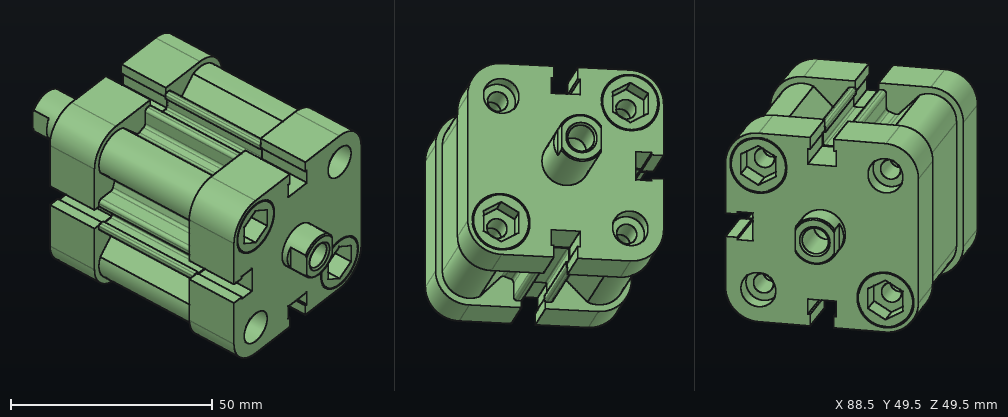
import cadquery as cq
import math


rod_length = 88.5
front_rod_reach = 21.95
barrel_length = 30.6
cap_length = 14.4
cap_side = 49.5
housing_end = barrel_length / 2 + cap_length
rod_start = -housing_end - front_rod_reach

hole_offset = 16.3
hole_diameter = 5.05
recess_width = 8.9
socket_depth = 6.0
counterbore_depth = 5.05
screw_bore_radius = 7.3
screw_gap = 0.3
screw_gap_depth = 0.9
cap_corner_radius = cap_side / 2 - hole_offset

barrel_half_side = 23.0
barrel_corner_radius = barrel_half_side - hole_offset
lobe_edge = 13.6
lobe_height = hole_offset + math.sqrt(barrel_corner_radius**2 - (hole_offset - lobe_edge) ** 2)
valley_offset = 7.9
valley_rise = 20
lip_outer_offset = 5.05
valley_radius = 1.0
lip_outer_radius = 1.0
lip_inner_radius = 0.5

slot_mouth = 2.7
slot_undercut = 3.4
slot_floor = 18.0
slot_lip_underside = 21.4
slot_floor_radius = 0.5
slot_clearance = 0.3

rod_diameter = 12.0
rod_chamfer = 0.35
flat_width = 10.0
flat_length = 5.1
flat_runout = 0.3
thread_diameter = 6.7
thread_mouth_diameter = 7.8
thread_depth = 12.0
drill_point_angle = 118

slot_turns = (0, 90, 180)
extra = 0.9



def section(x):
    """Sketch plane across the axis at x, with +Y and +Z as its local axes."""
    return cq.Workplane("YZ", origin=(x, 0, 0))


def rounded_polygon(work, corners):
    """Closed outline through corners (across, up, radius); a radius of 0 keeps the corner sharp."""
    points = [cq.Vector(across, up) for across, up, _ in corners]
    count = len(corners)
    for i in range(count):
        corner = points[i]
        radius = corners[i][2]
        back = (points[i - 1] - corner).normalized()
        ahead = (points[(i + 1) % count] - corner).normalized()
        half_angle = back.getAngle(ahead) / 2
        to_tangent = radius / math.tan(half_angle)
        to_arc_middle = radius / math.sin(half_angle) - radius
        arc_start = corner + back * to_tangent
        arc_middle = corner + (back + ahead).normalized() * to_arc_middle
        arc_end = corner + ahead * to_tangent
        arrive = work.moveTo if i == 0 else work.lineTo
        work = arrive(arc_start.x, arc_start.y)
        if radius > 0:
            work = work.threePointArc((arc_middle.x, arc_middle.y), (arc_end.x, arc_end.y))
    return work.close()


def cut_on_slotted_sides(body, cutter):
    """Cut the +Z cutter from every side that carries a sensor slot."""
    for turn in slot_turns:
        body = body.cut(cutter.rotate((0, 0, 0), (1, 0, 0), turn))
    return body


def corner_spots(side_of_diagonal):
    """The two hole centres where the signs of Y and Z multiply to side_of_diagonal."""
    return [(hole_offset * s, hole_offset * s * side_of_diagonal) for s in (-1, 1)]


screw_corners = corner_spots(-1)
plain_corners = corner_spots(1)


def rounded_block(x, length, side, corner_radius):
    """Square block along the axis with rounded long edges."""
    return section(x).rect(side, side).extrude(length).edges("|X").fillet(corner_radius)


def bore(body, x, length):
    """Cut the four corner holes and the rod bore."""
    holes = section(x).pushPoints(screw_corners + plain_corners).circle(hole_diameter / 2).extrude(length)
    rod_bore = section(x).circle(rod_diameter / 2).extrude(length)
    return body.cut(holes).cut(rod_bore)



def barrel_side_cutter():
    """Valleys beside the lips and the undercut slot between them, for the +Z side."""
    valley_height = lobe_height - (lobe_edge - valley_offset)
    lip_foot = valley_height + (valley_offset - lip_outer_offset) * math.tan(math.radians(valley_rise))
    half = [
        (lobe_edge, barrel_half_side + extra, 0),
        (lobe_edge, lobe_height, 0),
        (valley_offset, valley_height, valley_radius),
        (lip_outer_offset, lip_foot, valley_radius),
        (lip_outer_offset, barrel_half_side, lip_outer_radius),
        (slot_mouth, barrel_half_side, lip_inner_radius),
        (slot_mouth, slot_lip_underside, 0),
        (slot_undercut, slot_lip_underside, 0),
        (slot_undercut, slot_floor, slot_floor_radius),
    ]
    other_half = [(-across, up, radius) for across, up, radius in reversed(half)]
    return rounded_polygon(section(-barrel_length / 2), half + other_half).extrude(barrel_length)


def lobe_flat_cutter():
    """Strips beside the +Z corners, where the barrel follows the round lobes instead of a flat."""
    width = hole_offset - lobe_edge
    height = barrel_half_side - lobe_height
    middle = (hole_offset + lobe_edge) / 2
    centres = [(s * middle, lobe_height + height / 2) for s in (-1, 1)]
    strips = section(-barrel_length / 2).pushPoints(centres).rect(width, height)
    return strips.extrude(barrel_length)


def make_barrel():
    start = -barrel_length / 2
    block = rounded_block(start, barrel_length, 2 * barrel_half_side, barrel_corner_radius)
    lobes = section(start).pushPoints(screw_corners + plain_corners).circle(barrel_corner_radius)
    lobed = cut_on_slotted_sides(block, lobe_flat_cutter()).union(lobes.extrude(barrel_length))
    slotted = cut_on_slotted_sides(lobed, barrel_side_cutter())
    return bore(slotted, start, barrel_length)



def cap_slot_cutter():
    """Undercut slot of the +Z side of the -X cap."""
    mouth = slot_mouth + slot_clearance
    undercut = slot_undercut + slot_clearance
    underside = slot_lip_underside + slot_clearance
    floor = slot_floor - slot_clearance
    half = [
        (mouth, cap_side / 2 + extra, 0),
        (mouth, underside, 0),
        (undercut, underside, 0),
        (undercut, floor, 0),
    ]
    other_half = [(-across, up, radius) for across, up, radius in reversed(half)]
    return rounded_polygon(section(-housing_end), half + other_half).extrude(cap_length)


def make_front_cap():
    """The -X cap: hexagon sockets inside ring grooves on one diagonal, counterbores on the other."""
    outer_face = section(-housing_end)
    block = rounded_block(-housing_end, cap_length, cap_side, cap_corner_radius)
    slotted = cut_on_slotted_sides(block, cap_slot_cutter())
    cap = bore(slotted, -housing_end, cap_length)

    hexagon_corner_diameter = recess_width / math.cos(math.pi / 6)
    sockets = (
        outer_face.transformed(rotate=(0, 0, 90))
        .pushPoints([(z, -y) for y, z in screw_corners])
        .polygon(6, hexagon_corner_diameter)
        .extrude(socket_depth)
    )
    ring_grooves = (
        outer_face.pushPoints(screw_corners)
        .circle(screw_bore_radius)
        .circle(screw_bore_radius - screw_gap)
        .extrude(screw_gap_depth)
    )
    counterbores = outer_face.pushPoints(plain_corners).circle(recess_width / 2).extrude(counterbore_depth)
    return cap.cut(sockets).cut(ring_grooves).cut(counterbores)



def rod_end_cutter():
    """Two wrench flats with leaning shoulders and a drilled hole, for the -X end of the rod."""
    rod_radius = rod_diameter / 2
    flat_height = flat_width / 2
    flat_end = rod_start + flat_length
    runout_slope = flat_runout / (rod_radius - flat_height)
    clear_height = rod_radius + extra
    clear_end = flat_end + runout_slope * (clear_height - flat_height)
    flat = (
        cq.Workplane("XY")
        .polyline([
            (rod_start - extra, flat_height),
            (flat_end, flat_height),
            (clear_end, clear_height),
            (rod_start - extra, clear_height),
        ])
        .close()
        .extrude(rod_radius, both=True)
    )

    hole_radius = thread_diameter / 2
    mouth_radius = thread_mouth_diameter / 2
    point_length = hole_radius / math.tan(math.radians(drill_point_angle / 2))
    hole = (
        cq.Workplane("XY")
        .polyline([
            (rod_start, 0),
            (rod_start, mouth_radius),
            (rod_start + mouth_radius - hole_radius, hole_radius),
            (rod_start + thread_depth, hole_radius),
            (rod_start + thread_depth + point_length, 0),
        ])
        .close()
        .revolve(360, (0, 0, 0), (1, 0, 0))
    )
    return flat.union(flat.mirror("XZ")).union(hole)


def make_rod():
    """Through rod with the same flats and threaded hole at both ends."""
    bar = section(rod_start).circle(rod_diameter / 2).extrude(rod_length)
    chamfered = bar.faces("<X or >X").chamfer(rod_chamfer)
    front_end = rod_end_cutter()
    rod_middle = (rod_start + rod_length / 2, 0, 0)
    rear_end = front_end.mirror("YZ", rod_middle)
    return chamfered.cut(front_end).cut(rear_end)



barrel = make_barrel()
front_cap = make_front_cap()
rear_cap = front_cap.mirror("YZ")
rod = make_rod()

result = cq.Compound.makeCompound([barrel.val(), front_cap.val(), rear_cap.val(), rod.val()])